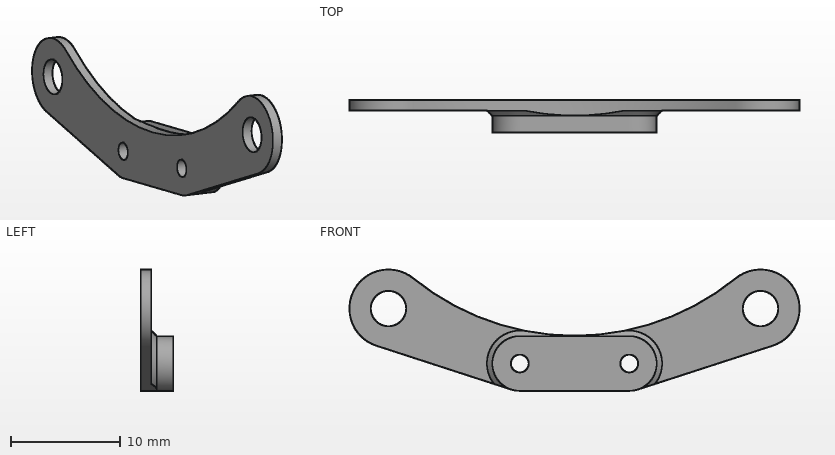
import cadquery as cq
import math

length = 41.2
height = 11.1
depth = 3.0
plate_thickness = 1.0
ear_radius = 3.6
ear_hole_diameter = 3.2
pad_radius = 2.5
pad_hole_spacing = 10.0
pad_hole_diameter = 1.6
flare = 0.5
flare_angle = 45
waist_height = 5.05

ear_x = length / 2 - ear_radius
ear_z = height - ear_radius
pad_x = pad_hole_spacing / 2
pad_z = pad_radius

ear_rise = ear_z - waist_height
top_radius = (ear_x**2 + ear_rise**2 - ear_radius**2) / (2 * (ear_radius + ear_rise))
tangent_share = top_radius / (top_radius + ear_radius)
top_center_z = waist_height + top_radius
top_tangent = (ear_x * tangent_share, top_center_z + (ear_z - top_center_z) * tangent_share)

center_distance = math.hypot(ear_x - pad_x, ear_z - pad_z)
slope = math.atan2(ear_z - pad_z, ear_x - pad_x) - math.asin((ear_radius - pad_radius) / center_distance)


def on_circle(center_x, center_z, radius, angle):
    return (center_x + radius * math.cos(angle), center_z + radius * math.sin(angle))


def mirrored(point):
    return (-point[0], point[1])


lower_angle = slope - math.pi / 2
ear_tangent = on_circle(ear_x, ear_z, ear_radius, lower_angle)
ear_outer = (length / 2, ear_z)
pad_tangent = on_circle(pad_x, pad_z, pad_radius, lower_angle)
pad_arc_middle = on_circle(pad_x, pad_z, pad_radius, (lower_angle - math.pi / 2) / 2)
pad_bottom = (pad_x, 0)


def plate_prism(thickness):
    """Plate outline extruded from the back face at Y = 0 toward -Y."""
    return (
        cq.Workplane("XZ")
        .moveTo(*mirrored(pad_bottom))
        .lineTo(*pad_bottom)
        .threePointArc(pad_arc_middle, pad_tangent)
        .lineTo(*ear_tangent)
        .threePointArc(ear_outer, top_tangent)
        .threePointArc((0, waist_height), mirrored(top_tangent))
        .threePointArc(mirrored(ear_outer), mirrored(ear_tangent))
        .lineTo(*mirrored(pad_tangent))
        .threePointArc(mirrored(pad_arc_middle), mirrored(pad_bottom))
        .close()
        .extrude(thickness)
    )


def pad_prism(start, thickness, radius, taper=0):
    """Round-ended bar extruded toward -Y from the given distance off the back."""
    return (
        cq.Workplane("XZ", origin=(0, -start, pad_z))
        .slot2D(pad_hole_spacing + 2 * radius, 2 * radius)
        .extrude(thickness, taper=taper)
    )


def holes(spacing, z, diameter):
    """Pair of bores through the full depth."""
    return (
        cq.Workplane("XZ", origin=(0, 0, z))
        .pushPoints([(-spacing / 2, 0), (spacing / 2, 0)])
        .circle(diameter / 2)
        .extrude(depth)
    )


plate = plate_prism(plate_thickness)
pad = pad_prism(0, depth, pad_radius)

flare_skirt = pad_prism(plate_thickness, flare, pad_radius + flare, taper=flare_angle)
trimmed_flare = flare_skirt.intersect(plate_prism(depth))

result = (
    plate.union(pad)
    .union(trimmed_flare)
    .cut(holes(2 * ear_x, ear_z, ear_hole_diameter))
    .cut(holes(pad_hole_spacing, pad_z, pad_hole_diameter))
)